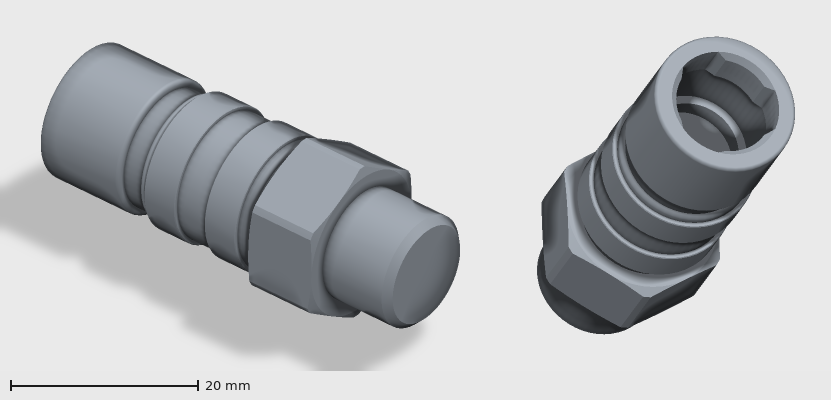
import cadquery as cq
import math

total_length = 46.9

sleeve_diameter = 15.8
sleeve_end = 10.95
sleeve_mouth_round = 0.38
sleeve_back_round = 0.45

neck_diameter = 14.0

collar_diameter = 15.1
collar_start = 13.45
collar_end = 28.15
collar_round = 0.5
band_diameter = 16.15
band_width = 4.2
band_inset = 1.1
band_chamfer = 0.1

hex_sides = 6
hex_start = 29.25
hex_end = 37.95
hex_across_flats = 17.0
hex_corner_diameter = 19.15
hex_tilt = 3.3
hex_chamfer_length = 0.35

spigot_diameter = 13.15
spigot_tip_diameter = 11.45
spigot_chamfer = (spigot_diameter - spigot_tip_diameter) / 2

mouth_diameter = 12.0
land_diameter = 10.7
land_count = 3
land_flat_offset = 4.75
land_end = 4.65
land_lead_in = 0.6
undercut_diameter = 12.15
undercut_end = 11.75
inner_bore_diameter = 10.35
inner_bore_end = 14.05


def cylinder(diameter, start, end):
    """Solid cylinder on the X axis from start to end."""
    return cq.Workplane("YZ", origin=(start, 0, 0)).circle(diameter / 2).extrude(end - start)


def make_sleeve():
    """Sleeve around the socket, rounded at both ends."""
    sleeve = cylinder(sleeve_diameter, 0, sleeve_end)
    sleeve = sleeve.faces("<X").edges().fillet(sleeve_mouth_round)
    return sleeve.faces(">X").edges().fillet(sleeve_back_round)


def make_collar():
    """Rounded collar carrying two raised bands, mirrored about its middle."""
    collar = cylinder(collar_diameter, collar_start, collar_end).edges("%CIRCLE").fillet(collar_round)
    front_band_start = collar_start + band_inset
    back_band_start = collar_end - band_inset - band_width
    for start in (front_band_start, back_band_start):
        band = cylinder(band_diameter, start, start + band_width)
        collar = collar.union(band.edges("%CIRCLE").chamfer(band_chamfer))
    return collar


def make_hexagon():
    """Hexagon whose corners are turned down and whose end faces are bevelled."""
    length = hex_end - hex_start
    half_side_angle = 180 / hex_sides
    circumscribed_diameter = hex_across_flats / math.cos(math.radians(half_side_angle))
    prism = (
        cq.Workplane("YZ", origin=(hex_start, 0, 0))
        .polygon(hex_sides, circumscribed_diameter)
        .extrude(length)
        .rotate((0, 0, 0), (1, 0, 0), half_side_angle - hex_tilt)
    )
    bevel_depth = (hex_corner_diameter - hex_across_flats) / 2
    turned_blank = cylinder(hex_corner_diameter, hex_start, hex_end)
    for end_face in ("<X", ">X"):
        turned_blank = turned_blank.faces(end_face).chamfer(hex_chamfer_length, bevel_depth)
    return prism.intersect(turned_blank)


def make_spigot():
    """Plain cylinder with a chamfered tip."""
    return cylinder(spigot_diameter, hex_end, total_length).faces(">X").chamfer(spigot_chamfer)


def make_bore():
    """Material removed from the socket, with the guide lands left standing."""
    grooves = cylinder(mouth_diameter, 0, land_end)
    land_depth = mouth_diameter / 2 - land_flat_offset
    for index in range(land_count):
        land = (
            cq.Workplane("XY")
            .box(land_end, land_depth, mouth_diameter, centered=(False, False, True))
            .translate((0, land_flat_offset, 0))
            .rotate((0, 0, 0), (1, 0, 0), index * 360 / land_count)
        )
        grooves = grooves.cut(land)
    lead_in = cq.Solid.makeCone(
        mouth_diameter / 2,
        land_diameter / 2,
        land_lead_in,
        pnt=cq.Vector(0, 0, 0),
        dir=cq.Vector(1, 0, 0),
    )
    return (
        cylinder(land_diameter, 0, land_end)
        .union(grooves)
        .union(cq.Workplane(lead_in))
        .union(cylinder(undercut_diameter, land_end, undercut_end))
        .union(cylinder(inner_bore_diameter, undercut_end, inner_bore_end))
    )


body = (
    make_sleeve()
    .union(cylinder(neck_diameter, sleeve_end, hex_start))
    .union(make_collar())
    .union(make_hexagon())
    .union(make_spigot())
)
result = body.cut(make_bore())